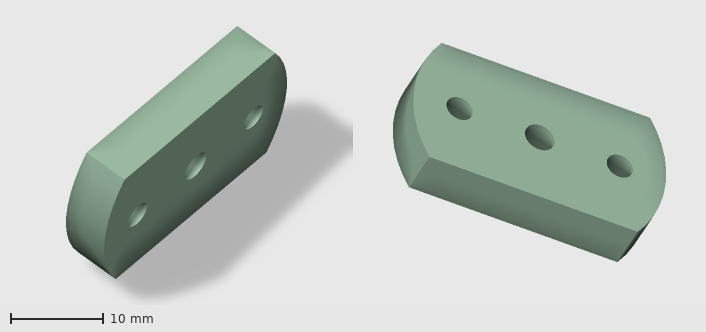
import cadquery as cq

thickness = 5.5
disc_diameter = 30.0
width_across_flats = 16.9
tilt_angle = 4.9

centre_hole_diameter = 3.5
side_hole_diameter = 3.1
side_hole_spacing = 19.05


def make_plate():
    """Disc centred on the origin, trimmed to the width across flats in Z."""
    disc = cq.Workplane("YZ").circle(disc_diameter / 2).extrude(thickness / 2, both=True)
    flats = cq.Workplane("XY").box(thickness, disc_diameter, width_across_flats)
    return disc.intersect(flats)


def make_hole(diameter, y_position):
    """Cylinder along X through the full thickness."""
    return (
        cq.Workplane("YZ")
        .center(y_position, 0)
        .circle(diameter / 2)
        .extrude(thickness, both=True)
    )


plate = make_plate().cut(make_hole(centre_hole_diameter, 0))
for side in (-1, 1):
    plate = plate.cut(make_hole(side_hole_diameter, side * side_hole_spacing / 2))

result = plate.rotate((0, 0, 0), (1, 0, 0), -tilt_angle)